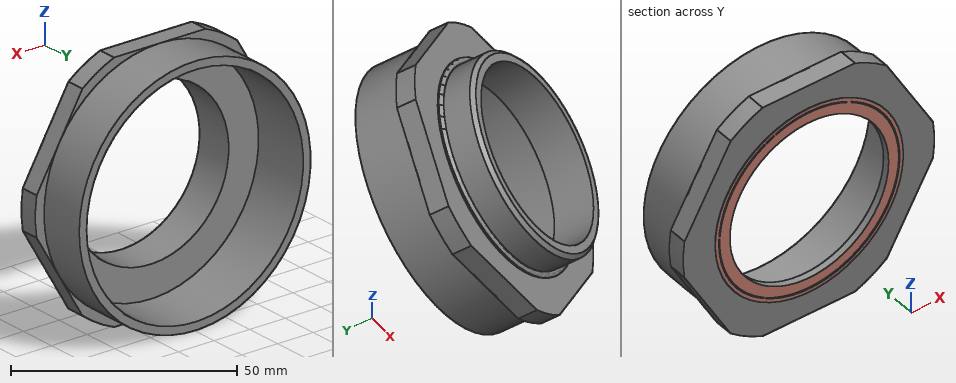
import cadquery as cq
import math

corner_diameter = 69.9
across_flats = 65.0
collar_diameter = across_flats
neck_diameter = 50.0
bore_diameter = 44.05
bore_length = 10.5
socket_diameter = 60.8
collar_length = 12.6
flange_thickness = 5.0
neck_length = 8.9
neck_chamfer = 1.0
ring_thickness = 1.4
ring_neck_overlap = 0.035
ring_flange_overlap = 0.15

total_length = neck_length + flange_thickness + collar_length
flange_front = neck_length
collar_front = flange_front + flange_thickness
across_corners = across_flats / math.cos(math.radians(30))


def cylinder(diameter, start, length):
    """Solid cylinder along +Y beginning at the given Y position."""
    return cq.Workplane("XZ", origin=(0, start, 0)).circle(diameter / 2).extrude(-length)


def make_flange():
    """Hexagon with flats facing +Z and -Z, its corners rounded by a circle."""
    hexagon = (
        cq.Workplane("XZ", origin=(0, flange_front, 0))
        .polygon(6, across_corners)
        .extrude(-flange_thickness)
    )
    return hexagon.intersect(cylinder(corner_diameter, flange_front, flange_thickness))


def make_neck():
    """Neck with a chamfered free end."""
    return cylinder(neck_diameter, 0, neck_length).faces("<Y").edges().chamfer(neck_chamfer)


def make_ring():
    """Round sealing ring seated between the neck and the flange face."""
    tube_radius = ring_thickness / 2
    ring_radius = neck_diameter / 2 + tube_radius - ring_neck_overlap
    ring_position = flange_front - tube_radius + ring_flange_overlap
    torus = cq.Solid.makeTorus(
        ring_radius, tube_radius, cq.Vector(0, ring_position, 0), cq.Vector(0, 1, 0)
    )
    return cq.Workplane(obj=torus)


collar = cylinder(collar_diameter, collar_front, collar_length)
body = make_flange().union(collar).union(make_neck()).union(make_ring())
bore = cylinder(bore_diameter, 0, bore_length)
socket = cylinder(socket_diameter, bore_length, total_length - bore_length)
result = body.cut(bore).cut(socket)